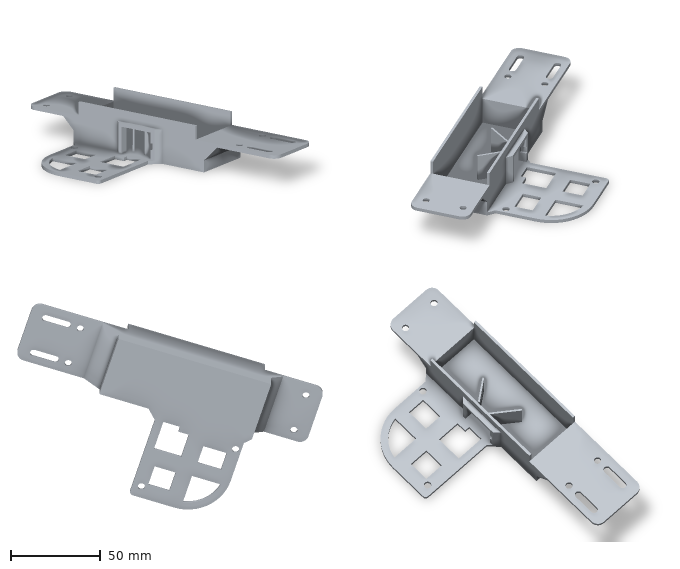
import cadquery as cq
import math

strip_length = 170.0
strip_width = 35.0
strip_corner_radius = 5.0
deck_top = 18.0
plate_thickness = 2.0
deck_bottom = deck_top - plate_thickness
strip_hole_diameter = 3.9
strip_hole_xs = (8.8, 140.8)
hole_row_ys = (6.0, 27.9)
slot_left, slot_right = 146.4, 163.0
slot_width = 4.0

part_height = 26.0
wall_thickness = 1.5
channel_left, channel_right = 35.0, 115.0
floor_thickness = plate_thickness
body_left, body_right = 31.5, 120.7
left_flare = 7.0
right_flare = 9.0

tab_left, tab_right = channel_left, 86.4
tab_front = -52.5
tab_arc_radius = 25.0
tab_corner_radius = 2.0
tab_inner_arc_radius = 20.7
tab_right_flare = 5.6
tab_hole_diameter = 4.0
tab_hole_centers = [(38.2, -8.7), (81.3, -46.0)]

left_window_x, left_window_y = (42.2, 56.0), (-23.1, -12.2)
front_window_x, front_window_y = (65.6, 78.0), (-44.0, -32.1)
rear_window_x, rear_window_y = (65.6, 81.6), (-22.5, -5.1)
rear_step_x, rear_step_y = 71.7, -8.2
quarter_window_right, quarter_window_back = 56.5, -31.3

frame_depth = 3.0
frame_left, frame_right = 61.5, tab_right + tab_right_flare
frame_top = 19.9
door_left, door_right = 66.6, 86.4
door_top = 17.8

latch_width = 1.4
latch_depth = 3.7
latch_bottom, latch_top = 7.6, 11.7

vane_thickness = 1.0
vane_top = 18.0
vane_lines = [((60.5, 16.5), (69.4, 4.6)), ((89.5, 18.7), (77.9, 3.0))]


def box(x_range, y_range, z_range):
    """Box spanning the given (low, high) limits on each axis."""
    (x0, x1), (y0, y1), (z0, z1) = x_range, y_range, z_range
    return cq.Workplane("XY").box(x1 - x0, y1 - y0, z1 - z0, centered=False).translate((x0, y0, z0))


def make_strip():
    strip = box((0, strip_length), (0, strip_width), (deck_bottom, deck_top))
    return strip.edges("|Z").fillet(strip_corner_radius)


def make_body():
    profile = [
        (body_left, 0),
        (body_right, 0),
        (body_right, deck_bottom - right_flare),
        (body_right + right_flare, deck_bottom),
        (body_right + right_flare, deck_top),
        (channel_right, deck_top),
        (channel_right, part_height),
        (channel_left, part_height),
        (channel_left, deck_top),
        (body_left - left_flare, deck_top),
        (body_left - left_flare, deck_bottom),
        (body_left, deck_bottom - left_flare),
    ]
    return cq.Workplane("XZ").polyline(profile).close().extrude(-strip_width)


def cut_channel(part):
    return part.cut(box(
        (channel_left, channel_right),
        (wall_thickness, strip_width - wall_thickness),
        (floor_thickness, part_height),
    ))


def cut_strip_holes(part):
    round_centers = [(x, y) for x in strip_hole_xs for y in hole_row_ys]
    slot_centers = [((slot_left + slot_right) / 2, y) for y in hole_row_ys]
    deck = cq.Workplane("XY").workplane(offset=deck_bottom)
    holes = deck.pushPoints(round_centers).circle(strip_hole_diameter / 2).extrude(plate_thickness)
    slots = deck.pushPoints(slot_centers).slot2D(slot_right - slot_left, slot_width).extrude(plate_thickness)
    return part.cut(holes).cut(slots)


def make_tab():
    left_flare_size = tab_left - body_left
    arc_x = tab_left + tab_arc_radius
    arc_y = tab_front + tab_arc_radius
    diagonal = math.sqrt(0.5)
    tab = (
        cq.Workplane("XY")
        .moveTo(body_left, 0)
        .lineTo(tab_left, -left_flare_size)
        .lineTo(tab_left, arc_y)
        .threePointArc(
            (arc_x - tab_arc_radius * diagonal, arc_y - tab_arc_radius * diagonal),
            (arc_x, tab_front),
        )
        .lineTo(tab_right - tab_corner_radius, tab_front)
        .radiusArc((tab_right, tab_front + tab_corner_radius), -tab_corner_radius)
        .lineTo(tab_right, -tab_right_flare)
        .lineTo(frame_right, 0)
        .close()
        .extrude(plate_thickness)
    )

    through = (0, plate_thickness)
    left_window = box(left_window_x, left_window_y, through)
    front_window = box(front_window_x, front_window_y, through)
    rear_step = box((rear_window_x[0], rear_step_x), (rear_step_y, rear_window_y[1]), through)
    rear_window = box(rear_window_x, rear_window_y, through).cut(rear_step)
    quarter_limits = box((tab_left, quarter_window_right), (tab_front, quarter_window_back), through)
    quarter_disc = (
        cq.Workplane("XY").center(arc_x, arc_y).circle(tab_inner_arc_radius).extrude(plate_thickness)
    )
    quarter_window = quarter_limits.intersect(quarter_disc)
    holes = cq.Workplane("XY").pushPoints(tab_hole_centers).circle(tab_hole_diameter / 2).extrude(plate_thickness)

    for opening in (left_window, front_window, rear_window, quarter_window, holes):
        tab = tab.cut(opening)
    return tab


def make_door_frame():
    outline = [
        (frame_left, 0),
        (frame_left + frame_depth, -frame_depth),
        (frame_right - frame_depth, -frame_depth),
        (frame_right, 0),
    ]
    return cq.Workplane("XY").polyline(outline).close().extrude(frame_top)


def cut_door(part):
    return part.cut(box(
        (door_left, door_right),
        (-frame_depth, wall_thickness),
        (plate_thickness, door_top),
    ))


def cut_latch_pocket(part):
    return part.cut(box(
        (door_right, door_right + latch_width),
        (-frame_depth, -frame_depth + latch_depth),
        (latch_bottom, latch_top),
    ))


def make_vane(start, end):
    dx = end[0] - start[0]
    dy = end[1] - start[1]
    height = vane_top - floor_thickness
    return (
        cq.Workplane("XY")
        .box(math.hypot(dx, dy), vane_thickness, height, centered=(True, True, False))
        .rotate((0, 0, 0), (0, 0, 1), math.degrees(math.atan2(dy, dx)))
        .translate(((start[0] + end[0]) / 2, (start[1] + end[1]) / 2, floor_thickness))
    )


result = cut_channel(make_strip().union(make_body()))
result = cut_strip_holes(result)
result = result.union(make_tab()).union(make_door_frame())
result = cut_latch_pocket(cut_door(result))
for vane_start, vane_end in vane_lines:
    result = result.union(make_vane(vane_start, vane_end))